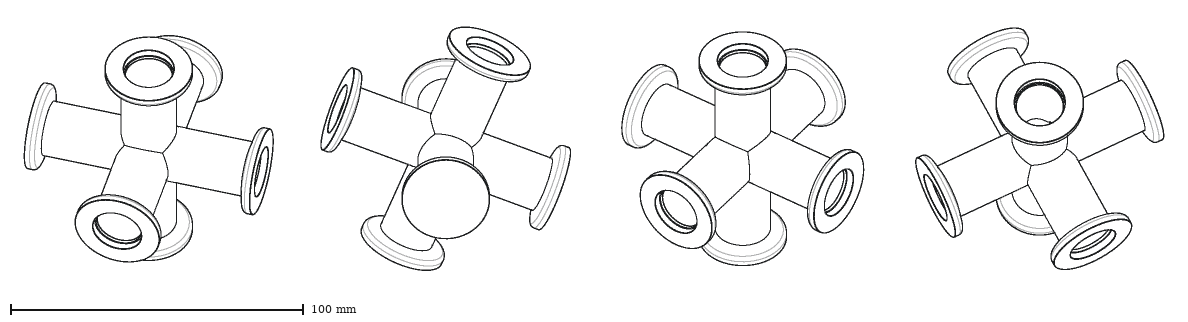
import cadquery as cq
import math

SPAN = 80.0
FACE_DISTANCE = SPAN / 2

BORE_RADIUS = 8.0
TUBE_RADIUS = 9.5

FLANGE_RADIUS = 30.0 / 2
FLANGE_BORE_RADIUS = 8.2
RECESS_RADIUS = 17.2 / 2
RECESS_DEPTH = 2.6
SOCKET_OFFSET = 3.6
RIM_DEPTH = 1.9
BACK_ROUND_RADIUS = 1.5
BACK_SLOPE_DEGREES = 15.0
FACE_CHAMFER = 0.2

TUBE_END = FACE_DISTANCE - SOCKET_OFFSET

UPWARD = ((1, 0, 0), 0)
DOWNWARD = ((1, 0, 0), 180)
SIDEWAYS = [
    ((1, 0, 0), 90),
    ((1, 0, 0), -90),
    ((0, 1, 0), 90),
    ((0, 1, 0), -90),
]
OPEN_PORTS = [UPWARD] + SIDEWAYS


def turn(shape, direction):
    """Swing a shape built on the +Z axis round to another port."""
    axis, angle = direction
    return shape.rotate((0, 0, 0), axis, angle)


def leg(radius):
    """Solid round bar from the centre to the end of the upward tube."""
    return cq.Workplane("XY").circle(radius).extrude(TUBE_END)


def make_cross():
    """Six hollow tubes meeting at the origin."""
    directions = OPEN_PORTS + [DOWNWARD]
    outside = leg(TUBE_RADIUS)
    inside = leg(BORE_RADIUS)
    for direction in directions[1:]:
        outside = outside.union(turn(leg(TUBE_RADIUS), direction))
        inside = inside.union(turn(leg(BORE_RADIUS), direction))
    return outside.cut(inside)


def make_flange_blank():
    """Disc with a rounded, sloping back and a socket for the tube, on the upward port."""
    slope = math.radians(BACK_SLOPE_DEGREES)
    round_sweep = math.pi / 2 - slope
    round_start = FACE_DISTANCE - RIM_DEPTH
    round_centre = FLANGE_RADIUS - BACK_ROUND_RADIUS

    def on_round(angle):
        return (
            round_centre + BACK_ROUND_RADIUS * math.cos(angle),
            round_start - BACK_ROUND_RADIUS * math.sin(angle),
        )

    cone_radius, cone_height = on_round(round_sweep)
    back_height = cone_height - (cone_radius - TUBE_RADIUS) * math.tan(slope)

    return (
        cq.Workplane("XZ")
        .moveTo(0, TUBE_END)
        .lineTo(0, FACE_DISTANCE)
        .lineTo(FLANGE_RADIUS - FACE_CHAMFER, FACE_DISTANCE)
        .lineTo(FLANGE_RADIUS, FACE_DISTANCE - FACE_CHAMFER)
        .lineTo(FLANGE_RADIUS, round_start)
        .threePointArc(on_round(round_sweep / 2), (cone_radius, cone_height))
        .lineTo(TUBE_RADIUS, back_height)
        .lineTo(TUBE_RADIUS, TUBE_END)
        .close()
        .revolve(360, (0, 0, 0), (0, 1, 0))
    )


def make_open_flange():
    """Flange with a through bore and a wider centring recess in its face."""
    bore = cq.Workplane("XY").circle(FLANGE_BORE_RADIUS).extrude(FACE_DISTANCE)
    recess = (
        cq.Workplane("XY", origin=(0, 0, FACE_DISTANCE))
        .circle(RECESS_RADIUS)
        .extrude(-RECESS_DEPTH)
    )
    recess_mouth = cq.Workplane("XY").add(
        cq.Solid.makeCone(
            RECESS_RADIUS,
            RECESS_RADIUS + FACE_CHAMFER,
            FACE_CHAMFER,
            pnt=(0, 0, FACE_DISTANCE - FACE_CHAMFER),
        )
    )
    return make_flange_blank().cut(bore).cut(recess).cut(recess_mouth)


cross = make_cross().solids()
open_flanges = [turn(make_open_flange(), direction).solids() for direction in OPEN_PORTS]
blind_flange = turn(make_flange_blank(), DOWNWARD).solids()

result = cq.Compound.makeCompound(
    [cross.val(), *[flange.val() for flange in open_flanges], blind_flange.val()]
)